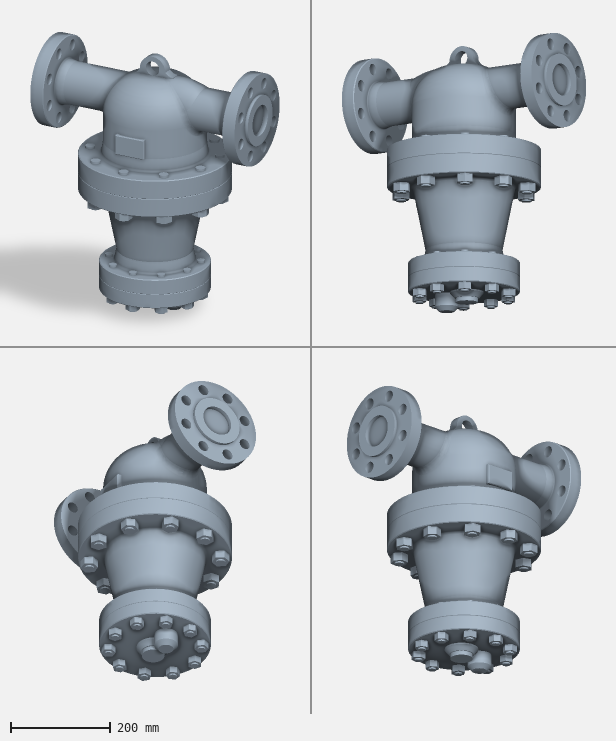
import cadquery as cq
import math

SIZE = 538.5
SUMP_BOTTOM = 34.5
SUMP_JOINT = 64.5
SUMP_TOP = 96.5
BODY_BOTTOM = 249.5
BODY_JOINT = 288.5
BODY_TOP = 328.5
SHELL_BASE = 355.5

BODY_FLANGE_RADIUS = 310.0 / 2
SUMP_FLANGE_RADIUS = 225.0 / 2
SHELL_RADIUS = 104.5
DOME_FLAT_RADIUS = 48.0 / 2
DOME_RADIUS = SHELL_RADIUS - DOME_FLAT_RADIUS
DOME_BASE = 417.5
DOME_TOP = DOME_BASE + DOME_RADIUS
COVER_NECK_RADIUS = 107.5
CONE_TOP_RADIUS = 102.5
SUMP_NECK_RADIUS = 157.0 / 2
SUMP_NECK_FOOT_RADIUS = 162.5 / 2
CONE_BOTTOM = 126.5
GROOVE_WIDTH = 11.0
GROOVE_DEPTH = 1.0
FOOT_FILLET = 5.5
EDGE_CHAMFER = 1.5
JOINT_CHAMFER = 0.8

LENGTH = 481.0
PIPE_FLANGE_RADIUS = 191.0 / 2
PIPE_Z = SIZE - PIPE_FLANGE_RADIUS
PIPE_RADIUS = 89.0 / 2
HUB_RADIUS = 47.5
HUB_LENGTH = 19.5
HUB_FILLET = 2.5
FLANGE_THICKNESS = 29.0
FACE_RADIUS = 105.0 / 2
FACE_HEIGHT = 7.0
BORE_RADIUS = 65.0 / 2
BORE_DEPTH = 10.0
FLANGE_HOLE_DIAMETER = 23.0
FLANGE_HOLE_COUNT = 8
FLANGE_HOLE_CIRCLE = 74.5
PIPE_FILLET = 12.5
SEAM_MARGIN = 0.5

HOOD_RADIUS = 43.5
HOOD_BEND_RADIUS = 106.5
HOOD_CENTRE_X = 51.5
HOOD_TOP = 500.0
HOOD_RISE_ANGLE = 30.0
HOOD_FALL_ANGLE = 30.0

LUG_RADIUS = 29.0
LUG_HOLE_DIAMETER = 30.0
LUG_HOLE_Z = 513.0
LUG_THICKNESS = 20.0
LUG_FOOT_HALF_WIDTH = 46.5
LUG_LEFT_FOOT_Z = 495.0
LUG_RIGHT_FOOT_Z = 501.5
LUG_FOOT_MID_X = 34.5
LUG_LEFT_MID_Z = 502.0
LUG_RIGHT_MID_Z = 504.5
LUG_ROOT_Z = 474.0

PLATE_WIDTH = 65.5
PLATE_BOTTOM = 355.5
PLATE_TOP = 397.5
PLATE_FRONT = 108.0

BOLT_COUNT = 10
STUD_ABOVE = 5.5
STUD_BELOW_NUT = 3.0
BODY_BOLT_CIRCLE = 132.5
BODY_STUD_DIAMETER = 20.0
BODY_NUT_FLATS = 30.5
BODY_NUT_HEIGHT = 16.5
SUMP_BOLT_CIRCLE = 93.5
SUMP_STUD_DIAMETER = 16.0
SUMP_NUT_FLATS = 25.0
SUMP_NUT_HEIGHT = 13.5

DRAIN_X = 42.5
DRAIN_RADIUS = 48.0 / 2
DRAIN_TIP_RADIUS = 30.0 / 2
DRAIN_TAPER = 9.0
PLUG_X = -7.0
PLUG_RADIUS = 45.0 / 2
PLUG_BOTTOM = 13.0
PLUG_TOP = 21.5
PLUG_BOSS_RADIUS = 34.0
PLUG_BOSS_TIP_RADIUS = 25.0
PLUG_BOSS_RIM = 2.5


def make_body():
    """Revolved casing from the sump flange up to the dome."""
    diagonal = math.sqrt(0.5)
    groove_bottom = CONE_BOTTOM - GROOVE_WIDTH
    sump_rim = SUMP_FLANGE_RADIUS - EDGE_CHAMFER
    body_rim = BODY_FLANGE_RADIUS - EDGE_CHAMFER
    joint_rim = BODY_FLANGE_RADIUS - JOINT_CHAMFER
    fillet_mid = FOOT_FILLET * (1 - diagonal)

    profile = (
        cq.Workplane("XZ")
        .moveTo(0, SUMP_BOTTOM)
        .lineTo(sump_rim, SUMP_BOTTOM)
        .lineTo(SUMP_FLANGE_RADIUS, SUMP_BOTTOM + EDGE_CHAMFER)
        .lineTo(SUMP_FLANGE_RADIUS, SUMP_JOINT - JOINT_CHAMFER)
        .lineTo(SUMP_FLANGE_RADIUS - JOINT_CHAMFER, SUMP_JOINT)
        .lineTo(SUMP_FLANGE_RADIUS, SUMP_JOINT + JOINT_CHAMFER)
        .lineTo(SUMP_FLANGE_RADIUS, SUMP_TOP - EDGE_CHAMFER)
        .lineTo(sump_rim, SUMP_TOP)
        .lineTo(SUMP_NECK_FOOT_RADIUS + FOOT_FILLET, SUMP_TOP)
        .threePointArc(
            (SUMP_NECK_FOOT_RADIUS + fillet_mid, SUMP_TOP + fillet_mid),
            (SUMP_NECK_FOOT_RADIUS, SUMP_TOP + FOOT_FILLET),
        )
        .lineTo(SUMP_NECK_RADIUS, groove_bottom)
        .lineTo(SUMP_NECK_RADIUS - GROOVE_DEPTH, groove_bottom + GROOVE_WIDTH / 2)
        .lineTo(SUMP_NECK_RADIUS, CONE_BOTTOM)
        .lineTo(CONE_TOP_RADIUS, BODY_BOTTOM - FOOT_FILLET)
        .threePointArc(
            (CONE_TOP_RADIUS + fillet_mid, BODY_BOTTOM - fillet_mid),
            (CONE_TOP_RADIUS + FOOT_FILLET, BODY_BOTTOM),
        )
        .lineTo(body_rim, BODY_BOTTOM)
        .lineTo(BODY_FLANGE_RADIUS, BODY_BOTTOM + EDGE_CHAMFER)
        .lineTo(BODY_FLANGE_RADIUS, BODY_JOINT - JOINT_CHAMFER)
        .lineTo(joint_rim, BODY_JOINT)
        .lineTo(BODY_FLANGE_RADIUS, BODY_JOINT + JOINT_CHAMFER)
        .lineTo(BODY_FLANGE_RADIUS, BODY_TOP - EDGE_CHAMFER)
        .lineTo(body_rim, BODY_TOP)
        .lineTo(COVER_NECK_RADIUS + FOOT_FILLET, BODY_TOP)
        .threePointArc(
            (COVER_NECK_RADIUS + fillet_mid, BODY_TOP + fillet_mid),
            (COVER_NECK_RADIUS, BODY_TOP + FOOT_FILLET),
        )
        .lineTo(SHELL_RADIUS, SHELL_BASE)
        .lineTo(SHELL_RADIUS, DOME_BASE)
        .threePointArc(
            (DOME_FLAT_RADIUS + DOME_RADIUS * diagonal, DOME_BASE + DOME_RADIUS * diagonal),
            (DOME_FLAT_RADIUS, DOME_TOP),
        )
        .lineTo(0, DOME_TOP)
        .close()
    )
    body = profile.revolve(360, (0, 0, 0), (0, 1, 0))
    return body.rotate((0, 0, 0), (0, 0, 1), 90)


def make_pipe_run():
    """Straight pipe running through the shell between the two end hubs."""
    half_run = LENGTH / 2 - FACE_HEIGHT - FLANGE_THICKNESS - HUB_LENGTH
    pipe = (
        cq.Workplane("YZ", origin=(-half_run, 0, PIPE_Z))
        .circle(PIPE_RADIUS)
        .extrude(2 * half_run)
    )
    return pipe.rotate((0, 0, PIPE_Z), (1, 0, PIPE_Z), -90)


def make_hood():
    """Bend that rises out of the dome and falls into the outlet pipe."""
    centre_z = HOOD_TOP - HOOD_RADIUS - HOOD_BEND_RADIUS
    bend = (
        cq.Workplane("YZ", origin=(HOOD_CENTRE_X, 0, centre_z))
        .center(0, HOOD_BEND_RADIUS)
        .circle(HOOD_RADIUS)
        .revolve(
            HOOD_RISE_ANGLE + HOOD_FALL_ANGLE,
            (0, -HOOD_BEND_RADIUS, 0),
            (1, -HOOD_BEND_RADIUS, 0),
        )
    )
    pivot = (HOOD_CENTRE_X, 0, centre_z)
    pivot_end = (HOOD_CENTRE_X, 1, centre_z)
    return bend.rotate(pivot, pivot_end, -HOOD_RISE_ANGLE)


def round_pipe_roots(casing):
    """Fillet the seams where the pipe and the hood leave the shell and dome."""
    roots = []
    for edge in casing.edges("not %CIRCLE").vals():
        box = edge.BoundingBox()
        above_pipe_bottom = box.zmin > PIPE_Z - PIPE_RADIUS - SEAM_MARGIN
        at_inlet = -SHELL_RADIUS - SEAM_MARGIN < box.xmin and box.xmax < 0
        at_outlet = 0 < box.xmin and box.xmax < SHELL_RADIUS + SEAM_MARGIN
        if above_pipe_bottom and (at_inlet or at_outlet):
            roots.append(edge)
    return casing.newObject(roots).fillet(PIPE_FILLET)


def make_pipe_flange():
    """Left-hand end flange with hub, raised face, blind bore and bolt holes."""
    face_x = -LENGTH / 2
    front_x = face_x + FACE_HEIGHT
    back_x = front_x + FLANGE_THICKNESS
    flange = (
        cq.Workplane("XY")
        .moveTo(face_x, 0)
        .lineTo(face_x, FACE_RADIUS)
        .lineTo(front_x, FACE_RADIUS)
        .lineTo(front_x, PIPE_FLANGE_RADIUS)
        .lineTo(back_x - EDGE_CHAMFER, PIPE_FLANGE_RADIUS)
        .lineTo(back_x, PIPE_FLANGE_RADIUS - EDGE_CHAMFER)
        .lineTo(back_x, HUB_RADIUS + HUB_FILLET)
        .radiusArc((back_x + HUB_FILLET, HUB_RADIUS), -HUB_FILLET)
        .lineTo(back_x + HUB_LENGTH, PIPE_RADIUS)
        .lineTo(back_x + HUB_LENGTH, 0)
        .close()
        .revolve(360, (0, 0, 0), (1, 0, 0))
    )
    bore = cq.Workplane("YZ", origin=(face_x, 0, 0)).circle(BORE_RADIUS).extrude(BORE_DEPTH)
    holes = (
        cq.Workplane("YZ", origin=(face_x, 0, 0))
        .polarArray(FLANGE_HOLE_CIRCLE, 180 / FLANGE_HOLE_COUNT, 360, FLANGE_HOLE_COUNT)
        .circle(FLANGE_HOLE_DIAMETER / 2)
        .extrude(FACE_HEIGHT + FLANGE_THICKNESS)
    )
    return flange.cut(bore).cut(holes).translate((0, 0, PIPE_Z))


def make_lug():
    """Flat lifting eye with concave feet that blend into the dome."""
    centre_z = SIZE - LUG_RADIUS
    eye = (
        cq.Workplane("XZ", origin=(0, LUG_THICKNESS / 2, 0))
        .moveTo(-LUG_FOOT_HALF_WIDTH, LUG_ROOT_Z)
        .lineTo(-LUG_FOOT_HALF_WIDTH, LUG_LEFT_FOOT_Z)
        .threePointArc((-LUG_FOOT_MID_X, LUG_LEFT_MID_Z), (-LUG_RADIUS, centre_z))
        .threePointArc((0, SIZE), (LUG_RADIUS, centre_z))
        .threePointArc((LUG_FOOT_MID_X, LUG_RIGHT_MID_Z), (LUG_FOOT_HALF_WIDTH, LUG_RIGHT_FOOT_Z))
        .lineTo(LUG_FOOT_HALF_WIDTH, LUG_ROOT_Z)
        .close()
        .extrude(LUG_THICKNESS)
    )
    hole = (
        cq.Workplane("XZ", origin=(0, LUG_THICKNESS / 2, LUG_HOLE_Z))
        .circle(LUG_HOLE_DIAMETER / 2)
        .extrude(LUG_THICKNESS)
    )
    return eye, hole


def make_name_plate():
    """Rectangular pad on the front of the shell."""
    plate = cq.Workplane("XY").box(
        PLATE_WIDTH, PLATE_FRONT, PLATE_TOP - PLATE_BOTTOM, centered=(True, False, False)
    )
    plate = plate.translate((0, -PLATE_FRONT, PLATE_BOTTOM))
    return plate.faces("<Y").chamfer(EDGE_CHAMFER)


def make_bolting(bolt_circle, stud_diameter, nut_flats, nut_height, bottom, top):
    """Ring of studs through a flange pair, each with a hexagon nut underneath."""
    nut_corners = nut_flats / math.cos(math.pi / 6)
    stud_bottom = bottom - nut_height - STUD_BELOW_NUT
    stud = (
        cq.Workplane("XY", origin=(bolt_circle, 0, stud_bottom))
        .circle(stud_diameter / 2)
        .extrude(top + STUD_ABOVE - stud_bottom)
    )
    nut = (
        cq.Workplane("XY", origin=(bolt_circle, 0, bottom - nut_height))
        .polygon(6, nut_corners)
        .extrude(nut_height)
    )
    bolt = stud.union(nut)
    ring = cq.Workplane("XY")
    for index in range(BOLT_COUNT):
        angle = 90 + index * 360 / BOLT_COUNT
        ring = ring.add(bolt.rotate((0, 0, 0), (0, 0, 1), angle))
    return ring.combine()


def make_drain():
    """Drain pipe with a tapered tip below the sump flange."""
    return (
        cq.Workplane("XZ", origin=(DRAIN_X, 0, 0))
        .lineTo(DRAIN_TIP_RADIUS, 0)
        .lineTo(DRAIN_RADIUS, DRAIN_TAPER)
        .lineTo(DRAIN_RADIUS, SUMP_JOINT)
        .lineTo(0, SUMP_JOINT)
        .close()
        .revolve(360, (0, 0, 0), (0, 1, 0))
    )


def make_plug():
    """Round plug on a tapered boss below the sump flange."""
    return (
        cq.Workplane("XZ", origin=(PLUG_X, 0, 0))
        .moveTo(0, PLUG_BOTTOM)
        .lineTo(PLUG_RADIUS, PLUG_BOTTOM)
        .lineTo(PLUG_RADIUS, PLUG_TOP)
        .lineTo(PLUG_BOSS_TIP_RADIUS, PLUG_TOP)
        .lineTo(PLUG_BOSS_RADIUS, SUMP_BOTTOM - PLUG_BOSS_RIM)
        .lineTo(PLUG_BOSS_RADIUS, SUMP_JOINT)
        .lineTo(0, SUMP_JOINT)
        .close()
        .revolve(360, (0, 0, 0), (0, 1, 0))
    )


casing = make_body().union(make_pipe_run()).union(make_hood())
casing = round_pipe_roots(casing)
left_flange = make_pipe_flange()
lug, lug_hole = make_lug()
result = (
    casing
    .union(left_flange)
    .union(left_flange.mirror("YZ"))
    .union(make_name_plate())
    .union(lug)
    .cut(lug_hole)
    .union(make_bolting(
        BODY_BOLT_CIRCLE, BODY_STUD_DIAMETER, BODY_NUT_FLATS, BODY_NUT_HEIGHT, BODY_BOTTOM, BODY_TOP
    ))
    .union(make_bolting(
        SUMP_BOLT_CIRCLE, SUMP_STUD_DIAMETER, SUMP_NUT_FLATS, SUMP_NUT_HEIGHT, SUMP_BOTTOM, SUMP_TOP
    ))
    .union(make_drain())
    .union(make_plug())
)